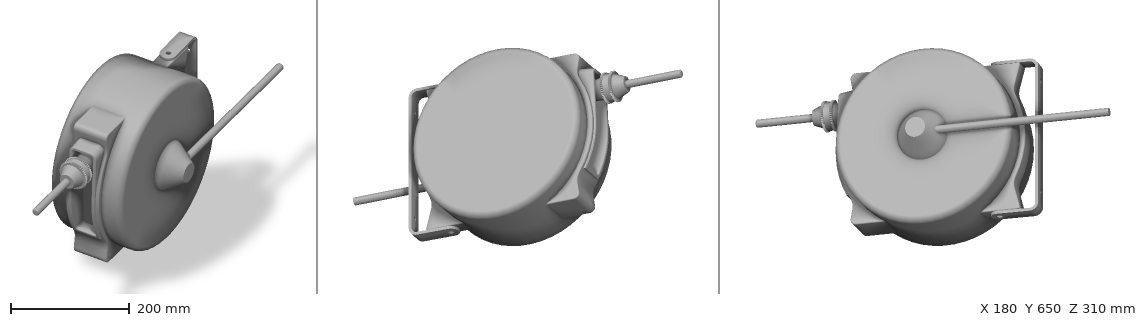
import cadquery as cq
import math


OVERALL_LENGTH = 650.0

DRUM_DIAMETER = 310.0
DRUM_WIDTH = 140.0
DRUM_EDGE_FILLET = 10.5

CONE_BASE_RADIUS = 45.0
CONE_TIP_RADIUS = 17.5
CONE_LENGTH = 40.0

CABLE_DIAMETER = 13.5
REEL_CABLE_END_Y = 335.0
REEL_CABLE_OFFSET = 15.5
FEED_CABLE_END_Y = REEL_CABLE_END_Y - OVERALL_LENGTH
FEED_CABLE_END_CHAMFER = 2.0

FOOT_EDGE_FILLET = 2.0
FOOT_WAIST_FILLET = 28.5
FRONT_FOOT_WIDTH = 65.0
FRONT_FOOT_HALF_HEIGHT = 134.5
FRONT_FOOT_REACH = 141.0
FRONT_FOOT_ARC_RADIUS = 164.5
FRONT_FOOT_SLANT = 10
FRONT_FOOT_CORNER = 10.0
REAR_FOOT_WIDTH = 30.0
REAR_FOOT_HALF_HEIGHT = 130.0
REAR_FOOT_REACH = 155.5
REAR_FOOT_ARC_RADIUS = 164.0
REAR_FOOT_SLANT = 15
REAR_FOOT_CORNER = 3.0

BOX_WIDTH = 52.5
BOX_ARC_RADIUS = 168.0
BOX_FACE_TILT = 3
BOX_TOP_SLOPE = 8
BOX_TOP_Z = 106.5
BOX_BOTTOM_Z = -78.5
BOX_ROOT_Y = -110.5
BOX_SHOULDER_FILLET = 12.0
BOX_RIM = 6.5
BOX_RIM_FILLET = 2.0
POCKET_FLOOR_Y = -127.5
POCKET_CORNER = 4.0

GLAND_Z = 74.0
GLAND_BASE_Y = -162.5
GLAND_BASE_RADIUS = 18.0
GLAND_NECK_RADIUS = 21.5
GLAND_BARREL_RADIUS = 25.0
GLAND_RING_RADIUS = 26.5
GLAND_RING_WIDTH = 4.5
GLAND_RING_TEETH = 48
GLAND_INNER_RING_Y = -174.0
GLAND_OUTER_RING_Y = -190.0
GLAND_TIP_Y = -213.0
GLAND_TIP_RADIUS = 13.5

BRACKET_WIDTH = 30.0
BRACKET_THICKNESS = 5.0
BRACKET_BEND_RADIUS = 15.0
BRACKET_BACK_Y = 186.0
BRACKET_PIVOT_Y = 114.5
BRACKET_SWING = 1.5
PIVOT_HOLE_DIAMETER = 10.0
MOUNT_HOLE_DIAMETER = 8.0
MOUNT_HOLE_SPACING = 196.0


def cylinder_along_y(radius, start_y, end_y, x, z):
    axis = cq.Vector(0, math.copysign(1, end_y - start_y), 0)
    solid = cq.Solid.makeCylinder(radius, abs(end_y - start_y), cq.Vector(x, start_y, z), axis)
    return cq.Workplane(obj=solid)


def drum():
    disc = cq.Workplane("YZ", origin=(-DRUM_WIDTH / 2, 0, 0)).circle(DRUM_DIAMETER / 2).extrude(DRUM_WIDTH)
    return disc.edges().fillet(DRUM_EDGE_FILLET)


def hub_cone():
    base = cq.Vector(DRUM_WIDTH / 2, 0, 0)
    axis = cq.Vector(1, 0, 0)
    cone = cq.Solid.makeCone(CONE_BASE_RADIUS, CONE_TIP_RADIUS, CONE_LENGTH, base, axis)
    return cq.Workplane(obj=cone)


def foot(side, width, half_height, reach, arc_radius, slant, corner):
    """Plate through the drum: an arc with a slanted toe above and below it. `side` is +1 or -1 in Y."""
    slope = math.tan(math.radians(slant))
    base = reach - slope * half_height
    spread = 1 + slope ** 2
    waist_z = (math.sqrt(spread * arc_radius ** 2 - base ** 2) - slope * base) / spread
    waist_y = base + slope * waist_z
    plate = (
        cq.Workplane("YZ")
        .moveTo(0, -half_height)
        .lineTo(side * reach, -half_height)
        .lineTo(side * waist_y, -waist_z)
        .threePointArc((side * arc_radius, 0), (side * waist_y, waist_z))
        .lineTo(side * reach, half_height)
        .lineTo(0, half_height)
        .close()
        .extrude(width / 2, both=True)
    )
    for z in (-waist_z, waist_z):
        waist = cq.selectors.NearestToPointSelector((0, side * waist_y, z))
        plate = plate.edges("|X").edges(waist).fillet(FOOT_WAIST_FILLET)
    for z in (-half_height, half_height):
        toe = cq.selectors.NearestToPointSelector((0, side * reach, z))
        plate = plate.edges("|X").edges(toe).fillet(corner)
    return plate.faces("<X or >X").edges().fillet(FOOT_EDGE_FILLET)


def terminal_box():
    """Box standing out of the front foot, with a tilted face that runs into an arc below."""
    tilt = math.radians(BOX_FACE_TILT)
    tangent_y = -BOX_ARC_RADIUS * math.cos(tilt)
    tangent_z = BOX_ARC_RADIUS * math.sin(tilt)
    face_top_y = tangent_y + (BOX_TOP_Z - tangent_z) * math.tan(tilt)
    root_top_z = BOX_TOP_Z + (BOX_ROOT_Y - face_top_y) * math.tan(math.radians(BOX_TOP_SLOPE))
    face_bottom_y = -math.sqrt(BOX_ARC_RADIUS ** 2 - BOX_BOTTOM_Z ** 2)
    middle = (math.asin(BOX_BOTTOM_Z / BOX_ARC_RADIUS) + tilt) / 2
    arc_middle = (-BOX_ARC_RADIUS * math.cos(middle), BOX_ARC_RADIUS * math.sin(middle))
    box = (
        cq.Workplane("YZ")
        .moveTo(BOX_ROOT_Y, BOX_BOTTOM_Z)
        .lineTo(BOX_ROOT_Y, root_top_z)
        .lineTo(face_top_y, BOX_TOP_Z)
        .lineTo(tangent_y, tangent_z)
        .threePointArc(arc_middle, (face_bottom_y, BOX_BOTTOM_Z))
        .close()
        .extrude(BOX_WIDTH / 2, both=True)
    )
    shoulder_z = (root_top_z + BOX_TOP_Z) / 2
    shoulder_y = (BOX_ROOT_Y + face_top_y) / 2
    for x in (-BOX_WIDTH / 2, BOX_WIDTH / 2):
        shoulder = cq.selectors.NearestToPointSelector((x, shoulder_y, shoulder_z))
        box = box.edges(shoulder).fillet(BOX_SHOULDER_FILLET)
    return box


def pocket():
    """Space inside the box rim, open towards -Y."""
    top_z = BOX_TOP_Z - BOX_RIM
    bottom_z = BOX_BOTTOM_Z + BOX_RIM
    depth = BOX_ARC_RADIUS + POCKET_FLOOR_Y
    space = cq.Workplane("XY").box(BOX_WIDTH - 2 * BOX_RIM, depth, top_z - bottom_z)
    space = space.edges("|Y").fillet(POCKET_CORNER)
    return space.translate((0, POCKET_FLOOR_Y - depth / 2, (top_z + bottom_z) / 2))


def reel_cable():
    return cylinder_along_y(
        CABLE_DIAMETER / 2, 0, REEL_CABLE_END_Y, DRUM_WIDTH / 2 + REEL_CABLE_OFFSET, 0
    )


def make_housing():
    front_foot = foot(
        -1, FRONT_FOOT_WIDTH, FRONT_FOOT_HALF_HEIGHT, FRONT_FOOT_REACH,
        FRONT_FOOT_ARC_RADIUS, FRONT_FOOT_SLANT, FRONT_FOOT_CORNER,
    )
    rear_foot = foot(
        1, REAR_FOOT_WIDTH, REAR_FOOT_HALF_HEIGHT, REAR_FOOT_REACH,
        REAR_FOOT_ARC_RADIUS, REAR_FOOT_SLANT, REAR_FOOT_CORNER,
    )
    box = terminal_box().cut(pocket())
    box = box.faces("<Y").edges().fillet(BOX_RIM_FILLET)
    return (
        drum()
        .union(front_foot)
        .union(rear_foot)
        .cut(pocket())
        .union(box)
        .union(hub_cone())
        .union(reel_cable())
    )


def gland_ring(start_y):
    """Knurled ring around the gland barrel, running from `start_y` towards -Y."""
    crests = 2 * GLAND_RING_TEETH
    outline = []
    for i in range(crests):
        radius = GLAND_BARREL_RADIUS if i % 2 else GLAND_RING_RADIUS
        angle = 2 * math.pi * i / crests
        outline.append((radius * math.cos(angle), radius * math.sin(angle)))
    ring = cq.Workplane("XZ", origin=(0, start_y, GLAND_Z)).polyline(outline).close()
    return ring.extrude(GLAND_RING_WIDTH)


def make_gland():
    """Gland standing on the pocket floor, with two knurled rings, a tapered nut and the feed cable."""
    barrel_end = GLAND_OUTER_RING_Y - GLAND_RING_WIDTH
    body = (
        cq.Workplane("XY")
        .moveTo(0, POCKET_FLOOR_Y)
        .lineTo(GLAND_BASE_RADIUS, POCKET_FLOOR_Y)
        .lineTo(GLAND_BASE_RADIUS, GLAND_BASE_Y)
        .lineTo(GLAND_NECK_RADIUS, GLAND_INNER_RING_Y)
        .lineTo(GLAND_BARREL_RADIUS, GLAND_INNER_RING_Y)
        .lineTo(GLAND_BARREL_RADIUS, barrel_end)
        .lineTo(GLAND_NECK_RADIUS, barrel_end)
        .lineTo(GLAND_TIP_RADIUS, GLAND_TIP_Y)
        .lineTo(0, GLAND_TIP_Y)
        .close()
        .revolve(360, (0, 0, 0), (0, 1, 0))
        .translate((0, 0, GLAND_Z))
    )
    for ring_y in (GLAND_INNER_RING_Y, GLAND_OUTER_RING_Y):
        body = body.union(gland_ring(ring_y))
    cable = cylinder_along_y(CABLE_DIAMETER / 2, GLAND_TIP_Y, FEED_CABLE_END_Y, 0, GLAND_Z)
    cable = cable.faces("<Y").edges().chamfer(FEED_CABLE_END_CHAMFER)
    return body.union(cable)


def make_bracket():
    """Bent strap whose two round-ended arms lie on the rear foot, swung slightly about its pivot."""
    arm_end_y = BRACKET_PIVOT_Y - BRACKET_WIDTH / 2
    length = BRACKET_BACK_Y - arm_end_y
    middle_y = (BRACKET_BACK_Y + arm_end_y) / 2
    inner_height = 2 * REAR_FOOT_HALF_HEIGHT
    outer_height = inner_height + 2 * BRACKET_THICKNESS
    strap = (
        cq.Workplane("XY")
        .box(BRACKET_WIDTH, length, outer_height)
        .edges("|X and >Y")
        .fillet(BRACKET_BEND_RADIUS)
        .translate((0, middle_y, 0))
    )
    opening = (
        cq.Workplane("XY")
        .box(BRACKET_WIDTH, length, inner_height)
        .edges("|X and >Y")
        .fillet(BRACKET_BEND_RADIUS - BRACKET_THICKNESS)
        .translate((0, middle_y - BRACKET_THICKNESS, 0))
    )
    pivot = cq.Workplane("XY").center(0, BRACKET_PIVOT_Y)
    straight = BRACKET_BACK_Y - BRACKET_PIVOT_Y
    plan = pivot.circle(BRACKET_WIDTH / 2).extrude(outer_height, both=True).union(
        cq.Workplane("XY")
        .box(BRACKET_WIDTH, straight, outer_height)
        .translate((0, BRACKET_PIVOT_Y + straight / 2, 0))
    )
    strap = strap.cut(opening).intersect(plan)

    strap = strap.cut(pivot.circle(PIVOT_HOLE_DIAMETER / 2).extrude(outer_height, both=True))
    inside_y = BRACKET_BACK_Y - BRACKET_THICKNESS
    for z in (-MOUNT_HOLE_SPACING / 2, MOUNT_HOLE_SPACING / 2):
        hole = cylinder_along_y(MOUNT_HOLE_DIAMETER / 2, inside_y, BRACKET_BACK_Y, 0, z)
        strap = strap.cut(hole)
    return strap.rotate((0, BRACKET_PIVOT_Y, 0), (0, BRACKET_PIVOT_Y, 1), BRACKET_SWING)


housing = make_housing()
gland = make_gland()
bracket = make_bracket()

bodies = [housing, gland, bracket]
result = cq.Compound.makeCompound([body.solids().val() for body in bodies])